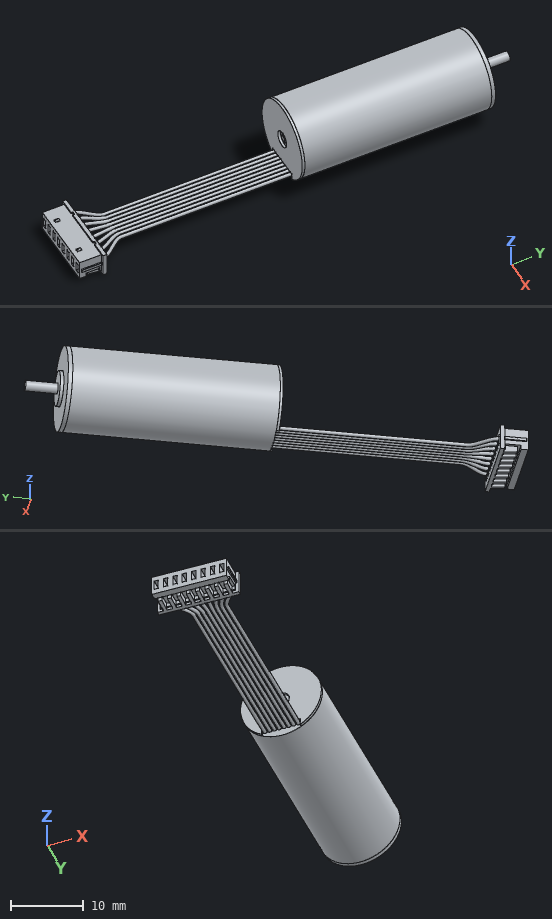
import cadquery as cq


motor_diameter = 12.0
motor_length = 30.0
front_cap_thickness = 0.6
rear_cap_thickness = 0.4
bearing_diameter = 5.0
bearing_rise = 0.5
shaft_diameter = 1.5
shaft_rise = 5.0
shaft_rear_recess = 0.15
journal_diameter = 1.25
journal_chamfer = 0.15
rear_opening_diameter = 2.5

wire_count = 8
wire_diameter = 0.6
wire_gap = 0.105
web_thickness = 0.15
ribbon_end_y = -26.2
fan_bend_length = 1.3
notch_clearance = 0.1

plug_front_y = -34.3
plug_length = 4.0
collar_width = 12.05
collar_thickness = 0.6
plug_drop = 0.75
collar_height = 3.75
body_width = 11.1
body_top_gap = 0.2
body_height = 3.1

rib_height = 0.4
rib_depth = 0.2
rib_center_z = -4.85
rib_front_gap = 0.3

slot_pitch = 1.4
slot_width = 0.6
slot_top_gap = 1.05
slot_height = 1.45
cable_gap = 1.6

undercut_height = 0.6
undercut_rear_gap = 0.2
undercut_front_gap = 1.05
latch_width = 0.55
latch_front_gap = 1.45
latch_tip_rise = 0.2

pocket_spacing = 6.45
pocket_width = 0.5
pocket_length = 0.7
pocket_depth = 0.3
pocket_front_gap = 0.75
collar_notch_length = 0.3

front_cap_y = motor_length - front_cap_thickness
shaft_tip_y = motor_length + shaft_rise
wire_radius = wire_diameter / 2
wire_pitch = wire_diameter + wire_gap
ribbon_width = (wire_count - 1) * wire_pitch + wire_diameter
collar_back_y = plug_front_y + plug_length
collar_front_y = collar_back_y - collar_thickness
collar_bottom_z = -motor_diameter / 2 - plug_drop
collar_top_z = collar_bottom_z + collar_height
cable_z = collar_top_z - cable_gap
slot_top_z = collar_top_z - slot_top_gap
body_top_z = collar_top_z - body_top_gap
body_bottom_z = body_top_z - body_height
undercut_top_z = body_bottom_z + undercut_height


def rod(diameter, y_start, y_end, x=0.0, z=0.0):
    """Cylinder along Y."""
    start = cq.Workplane("XZ", origin=(x, y_start, z))
    return start.circle(diameter / 2).extrude(y_start - y_end)


def block(width, y_range, z_range, x=0.0):
    """Box centred on x, given by its width and its Y and Z limits."""
    y_low, y_high = y_range
    z_low, z_high = z_range
    base = cq.Workplane("XY", origin=(x, (y_low + y_high) / 2, z_low))
    return base.rect(width, y_high - y_low).extrude(z_high - z_low)


def centered_places(count, pitch):
    """X places of a row of equal features, symmetric about X = 0."""
    return [(i - (count - 1) / 2) * pitch for i in range(count)]


def make_housing():
    can = rod(motor_diameter, rear_cap_thickness, front_cap_y)
    return can.cut(rod(shaft_diameter, rear_cap_thickness, front_cap_y))


def make_front_cap():
    disc = rod(motor_diameter, front_cap_y, motor_length)
    return disc.cut(rod(bearing_diameter, front_cap_y, motor_length))


def make_front_bearing():
    bearing_end_y = motor_length + bearing_rise
    bush = rod(bearing_diameter, front_cap_y, bearing_end_y)
    return bush.cut(rod(shaft_diameter, front_cap_y, bearing_end_y))


def make_rear_cap():
    disc = rod(motor_diameter, 0, rear_cap_thickness)
    disc = disc.cut(rod(rear_opening_diameter, 0, rear_cap_thickness))
    notch = block(
        ribbon_width + 2 * notch_clearance,
        (0, rear_cap_thickness),
        (-motor_diameter / 2, cable_z + wire_radius + notch_clearance),
    )
    return disc.cut(notch)


def make_shaft():
    journal = rod(journal_diameter, shaft_rear_recess, rear_cap_thickness)
    journal = journal.faces("<Y").chamfer(journal_chamfer)
    return journal.union(rod(shaft_diameter, rear_cap_thickness, shaft_tip_y))


def make_fan_wire(x_start, x_end):
    """Wire that swings from its place in the ribbon to its place at the plug."""
    path = cq.Workplane("XY", origin=(0, 0, cable_z)).bezier(
        [
            (x_start, ribbon_end_y),
            (x_start, ribbon_end_y - fan_bend_length),
            (x_end, collar_back_y + fan_bend_length),
            (x_end, collar_back_y),
        ]
    )
    section = cq.Workplane("XZ", origin=(x_start, ribbon_end_y, cable_z)).circle(wire_radius)
    return section.sweep(path)


def make_cable():
    wire_places = centered_places(wire_count, wire_pitch)
    plug_places = centered_places(wire_count, slot_pitch)
    cable = block(
        wire_places[-1] - wire_places[0],
        (ribbon_end_y, rear_cap_thickness),
        (cable_z - web_thickness / 2, cable_z + web_thickness / 2),
    )
    for x_start, x_end in zip(wire_places, plug_places):
        cable = cable.union(rod(wire_diameter, ribbon_end_y, rear_cap_thickness, x_start, cable_z))
        cable = cable.union(make_fan_wire(x_start, x_end))
    return cable


def make_latch(x):
    """Latch under the plug whose lower side slopes up to its tip."""
    tip_y = plug_front_y + latch_front_gap
    outline = [
        (collar_front_y, undercut_top_z),
        (collar_front_y, collar_bottom_z),
        (tip_y, collar_bottom_z + latch_tip_rise),
        (tip_y, undercut_top_z),
    ]
    side = cq.Workplane("YZ", origin=(x - latch_width / 2, 0, 0))
    return side.polyline(outline).close().extrude(latch_width)


def make_ramp_cutter(x):
    """Pocket in the top of the plug, deepest at its front and running out at its rear."""
    front_y = plug_front_y + pocket_front_gap
    outline = [
        (front_y, body_top_z),
        (front_y, body_top_z - pocket_depth),
        (front_y + pocket_length, body_top_z),
    ]
    side = cq.Workplane("YZ", origin=(x - pocket_width / 2, 0, 0))
    return side.polyline(outline).close().extrude(pocket_width)


def make_plug():
    slot_places = centered_places(wire_count, slot_pitch)
    plug = block(body_width, (plug_front_y, collar_front_y), (body_bottom_z, body_top_z))
    plug = plug.union(
        block(collar_width, (collar_front_y, collar_back_y), (collar_bottom_z, collar_top_z))
    )
    plug = plug.union(
        block(
            body_width + 2 * rib_depth,
            (plug_front_y + rib_front_gap, collar_front_y),
            (rib_center_z - rib_height / 2, rib_center_z + rib_height / 2),
        )
    )
    plug = plug.cut(
        block(
            body_width,
            (plug_front_y + undercut_front_gap, collar_front_y - undercut_rear_gap),
            (body_bottom_z, undercut_top_z),
        )
    )
    for x in slot_places:
        plug = plug.union(make_latch(x))
    for x in slot_places:
        plug = plug.cut(
            block(slot_width, (plug_front_y, collar_back_y), (slot_top_z - slot_height, slot_top_z), x)
        )
    for x in centered_places(2, pocket_spacing):
        plug = plug.cut(make_ramp_cutter(x))
        plug = plug.cut(
            block(
                pocket_width,
                (collar_front_y, collar_front_y + collar_notch_length),
                (body_top_z, collar_top_z),
                x,
            )
        )
    return plug


housing = make_housing()
front_cap = make_front_cap()
front_bearing = make_front_bearing()
rear_cap = make_rear_cap()
shaft = make_shaft()
cable = make_cable()
plug = make_plug()

result = cq.Compound.makeCompound(
    [
        housing.val(),
        front_cap.val(),
        front_bearing.val(),
        rear_cap.val(),
        shaft.val(),
        cable.val(),
        plug.val(),
    ]
)